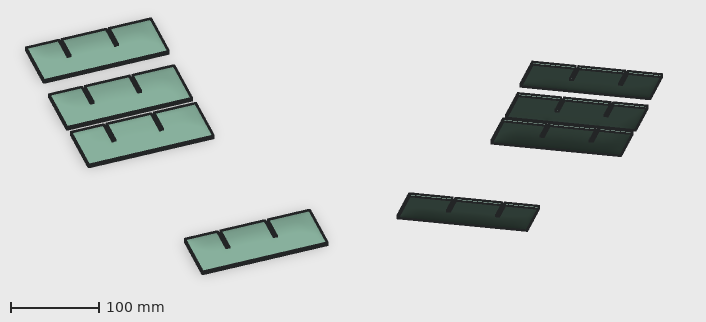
import cadquery as cq

layout_length = 432.0
layout_depth = 210.5

plate_width = 60.0
plate_length = 150.0
plate_thickness = 3.5

slot_width = 3.5
slot_depth = plate_width / 2
first_slot_y = 41.0
slot_pitch = 57.0
slot_count = 2

plate_corners = [
    (0, 2.5),
    (85.0, 0),
    (154.5, 1.5),
    (layout_length - plate_width, layout_depth - plate_length),
]


def divider_plate(corner_x, corner_y):
    """Flat plate with half-width slots, placed by its lower corner."""
    plate = cq.Workplane("XY").box(plate_width, plate_length, plate_thickness, centered=False)
    for index in range(slot_count):
        slot_y = first_slot_y + index * slot_pitch
        slot = (
            cq.Workplane("XY")
            .box(slot_depth, slot_width, plate_thickness, centered=False)
            .translate((0, slot_y - slot_width / 2, 0))
        )
        plate = plate.cut(slot)
    return plate.translate((corner_x, corner_y, 0))


divider_plates = [divider_plate(x, y) for x, y in plate_corners]

result = cq.Compound.makeCompound([plate.val() for plate in divider_plates])